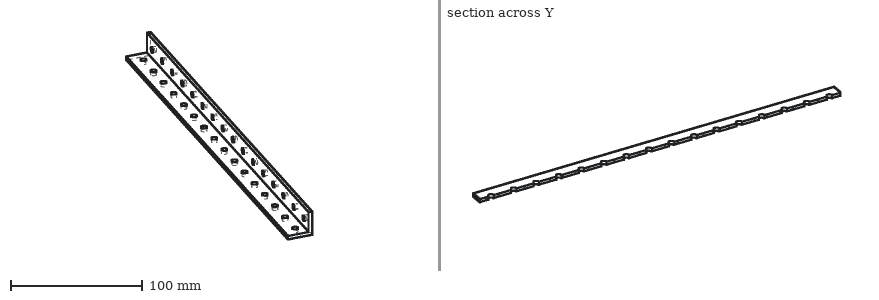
import cadquery as cq

length = 320.0
hole_count = 16
thickness = 3.0
hole_diameter = 4.5

pitch = length / hole_count
leg = pitch


def hole_row(plane, depth):
    """Cylinders spaced along X, centred on a leg's width."""
    return (
        cq.Workplane(plane)
        .rarray(pitch, 3.2, hole_count, 1)
        .circle(hole_diameter / 2)
        .extrude(depth, both=True)
    )


base_leg = cq.Workplane("XY").box(length, leg, thickness).translate((0, 0, (thickness - leg) / 2))
upright_leg = cq.Workplane("XY").box(length, thickness, leg).translate((0, (leg - thickness) / 2, 0))
angle = base_leg.union(upright_leg)

result = angle.cut(hole_row("XY", leg)).cut(hole_row("XZ", leg))